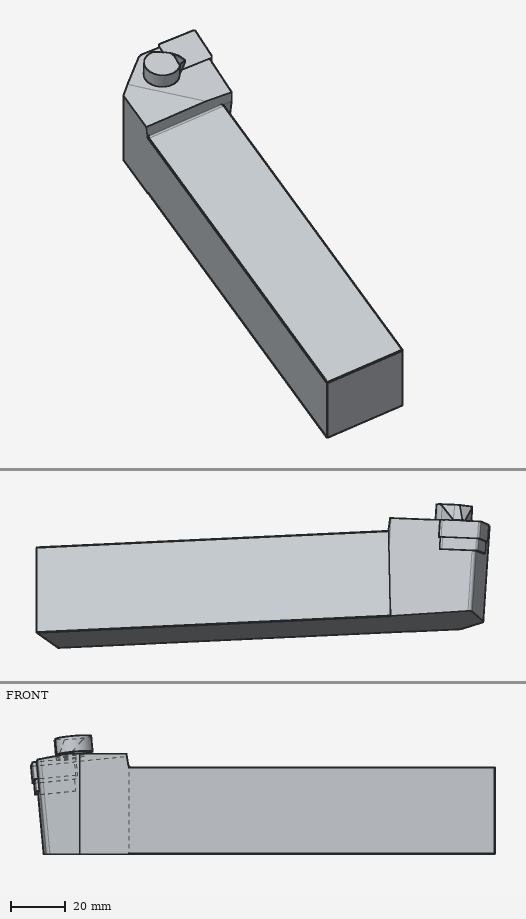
import cadquery as cq
import math

length = 170.0
shank_width = 32.0
shank_height = 32.0
edge_chamfer = 0.3

head_height = 36.9
step_top_x = 35.0
step_foot_x = 35.9
step_fillet = 0.7
nose_cut = 17.8
head_corner_radius = 1.2
nose_blend_radius = 4.5

tilt = 7.5
fold_start = (13.8, 3.9, head_height)
fold_end = (fold_start[0] + 1.7, fold_start[1] + 1.7, head_height)

seat_margin = 10.2
seat_back_x = step_top_x + seat_margin
seat_nose_x = 2.4
seat_outline = [
    (1.4, 38.7),
    (34.8, 35.9),
    (seat_back_x, 35.9),
    (seat_back_x, -seat_margin),
    (nose_cut + seat_margin, -seat_margin),
    (seat_nose_x, nose_cut - seat_nose_x),
]
prism_depth = 59.5

insert_tip = (-0.25, 40.3)
insert_side = 16.0
upper_edge_angle = -5.0
left_edge_angle = -87.3
insert_thickness = 6.3
tip_radius = 0.7
insert_radius = 1.2
shim_thickness = 4.5
shim_inset = 0.5

clamp_center = (16.1, 17.0)
clamp_radius = 6.6
clamp_post_radius = 4.2
clamp_gap = 1.2
toe_y = 27.0
relief_end_y = 23.5
clamp_height = 7.0
finger_lip = 1.0
finger_outline = [(9.2, 17.7), (9.2, 26.5), (10.2, 27.7), (13.3, 28.5), (19.5, 22.6), clamp_center]
crown_side = (10.4, 18.7)
crown_left = (12.7, 22.3)
crown_middle = (14.6, 22.8)
crown_right = (19.2, 22.3)


def tilted(body):
    """Turn a body about the fold line, from level to the seat plane."""
    return body.rotate(fold_start, fold_end, -tilt)


def make_shank():
    return (
        cq.Workplane("XY")
        .box(length - step_foot_x, shank_width, shank_height, centered=False)
        .translate((step_foot_x, 0, 0))
        .edges("|X or >X")
        .chamfer(edge_chamfer)
    )


def make_head():
    seat_prism = tilted(
        cq.Workplane("XY", origin=(0, 0, head_height - prism_depth))
        .polyline(seat_outline)
        .close()
        .extrude(2 * prism_depth)
        .edges("|Z")
        .edges("<X")
        .fillet(head_corner_radius)
        .edges(cq.selectors.NearestToPointSelector((*seat_outline[-1], head_height)))
        .fillet(nose_blend_radius)
    )
    profile = (
        cq.Workplane("XZ", origin=(0, prism_depth, 0))
        .moveTo(-seat_margin, 0)
        .lineTo(step_foot_x, 0)
        .lineTo(step_foot_x, shank_height)
        .lineTo(step_top_x, head_height)
        .lineTo(-seat_margin, head_height)
        .close()
        .extrude(prism_depth)
    )
    above_seat = tilted(
        cq.Workplane("XY", origin=(0, 0, head_height))
        .polyline([
            (fold_start[0] - prism_depth, fold_start[1] - prism_depth),
            (fold_start[0] + prism_depth, fold_start[1] + prism_depth),
            (fold_start[0] - prism_depth, fold_start[1] + prism_depth),
        ])
        .close()
        .extrude(prism_depth)
    )
    return profile.intersect(seat_prism).cut(above_seat)


def rhombus_prism(inset, top, thickness):
    """Level rhombic plate, with its edges set in from the insert outline."""
    def along(point, angle):
        turn = math.radians(angle)
        return (point[0] + insert_side * math.cos(turn), point[1] + insert_side * math.sin(turn))

    right_corner = along(insert_tip, upper_edge_angle)
    left_corner = along(insert_tip, left_edge_angle)
    back_corner = along(right_corner, left_edge_angle)
    plate = (
        cq.Workplane("XY", origin=(0, 0, top - thickness))
        .polyline([insert_tip, right_corner, back_corner, left_corner])
        .close()
        .offset2D(-inset)
        .extrude(thickness)
    )
    tip = cq.selectors.NearestToPointSelector((*insert_tip, top - thickness / 2))
    plate = plate.edges(tip).fillet(tip_radius)
    for corner in (right_corner, back_corner, left_corner):
        nearest = cq.selectors.NearestToPointSelector((*corner, top - thickness / 2))
        plate = plate.edges(nearest).fillet(insert_radius)
    return plate


def make_insert():
    return tilted(rhombus_prism(0, head_height, insert_thickness))


def make_shim():
    return tilted(rhombus_prism(shim_inset, head_height - insert_thickness, shim_thickness))


def bevel(body, first, second, third):
    """Remove what lies above the plane through three points."""
    origin = cq.Vector(*first)
    x_dir = cq.Vector(*second) - origin
    normal = x_dir.cross(cq.Vector(*third) - origin)
    if normal.z < 0:
        normal = normal * -1
    plane = cq.Plane(origin=origin, xDir=x_dir, normal=normal)
    return body.cut(cq.Workplane(plane).rect(prism_depth, prism_depth).extrude(prism_depth))


def make_clamp():
    top = head_height + clamp_height
    lip = head_height + finger_lip
    finger = (
        cq.Workplane("XY", origin=(0, 0, head_height))
        .polyline(finger_outline)
        .close()
        .extrude(clamp_height)
    )
    button = (
        cq.Workplane("XY", origin=(*clamp_center, head_height))
        .circle(clamp_radius)
        .extrude(clamp_height)
    )
    clamp = button.union(finger)
    left_lip, front_left_lip, front_right_lip = finger_outline[1:4]
    clamp = bevel(clamp, (*crown_side, top), (*crown_left, top), (*left_lip, lip))
    clamp = bevel(clamp, (*crown_left, top), (*front_left_lip, lip), (*front_right_lip, lip))
    clamp = bevel(clamp, (*crown_middle, top), (*crown_right, top), (*front_right_lip, lip))

    relief = (
        cq.Workplane("YZ", origin=(0, 0, head_height))
        .polyline([(0, 0), (toe_y, 0), (relief_end_y, clamp_gap), (0, clamp_gap)])
        .close()
        .extrude(prism_depth)
    )
    post = (
        cq.Workplane("XY", origin=(*clamp_center, head_height))
        .circle(clamp_post_radius)
        .extrude(clamp_height / 2)
    )
    return tilted(clamp.cut(relief).union(post))


def make_holder(insert):
    step_foot = cq.selectors.NearestToPointSelector((step_foot_x, shank_width / 2, shank_height))
    body = make_head().union(make_shank()).edges(step_foot).fillet(step_fillet)
    return body.cut(insert).union(make_shim()).union(make_clamp())


insert = make_insert()
holder = make_holder(insert)
result = cq.Compound.makeCompound([*holder.vals(), insert.val()])